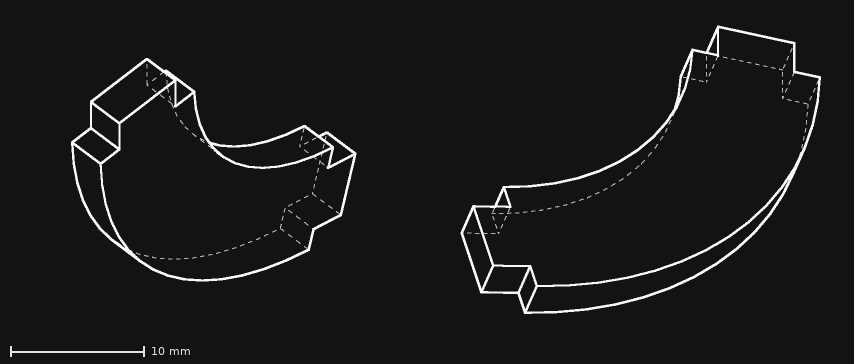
import cadquery as cq
import math

thickness = 3.0
inner_radius = 20.0
outer_radius = 30.0
end_angle = 75.0
overall_height = 31.35

tab_width = 6.0
tab_length = 3.0

upper_end_drop = tab_length + outer_radius * math.sin(math.radians(end_angle)) - overall_height

mid_radius = (inner_radius + outer_radius) / 2
tab_inner = mid_radius - tab_width / 2
tab_outer = mid_radius + tab_width / 2


def polar(radius, angle):
    """Point at an angle in degrees from the -Y axis, turning toward -Z."""
    turn = math.radians(angle)
    return (-radius * math.cos(turn), -radius * math.sin(turn))


def upper_end_angle(radius):
    """Angle at which an arc of this radius meets the upper end face."""
    return math.degrees(math.asin(upper_end_drop / radius))


def arc_points(radius):
    """Start, middle and end of the arc, from the upper to the lower end face."""
    start_angle = upper_end_angle(radius)
    middle_angle = (start_angle + end_angle) / 2
    return [polar(radius, angle) for angle in (start_angle, middle_angle, end_angle)]


def lower_end_point(radius, reach):
    """Point at a radius along the lower end face, moved outward by reach."""
    y, z = polar(radius, end_angle)
    turn = math.radians(end_angle)
    return (y + reach * math.sin(turn), z - reach * math.cos(turn))


outer_top, outer_middle, outer_bottom = arc_points(outer_radius)
inner_top, inner_middle, inner_bottom = arc_points(inner_radius)
shoulder_z = -upper_end_drop
tab_top_z = shoulder_z + tab_length

result = (
    cq.Workplane("YZ")
    .moveTo(*outer_top)
    .threePointArc(outer_middle, outer_bottom)
    .lineTo(*lower_end_point(tab_outer, 0))
    .lineTo(*lower_end_point(tab_outer, tab_length))
    .lineTo(*lower_end_point(tab_inner, tab_length))
    .lineTo(*lower_end_point(tab_inner, 0))
    .lineTo(*inner_bottom)
    .threePointArc(inner_middle, inner_top)
    .lineTo(-tab_inner, shoulder_z)
    .lineTo(-tab_inner, tab_top_z)
    .lineTo(-tab_outer, tab_top_z)
    .lineTo(-tab_outer, shoulder_z)
    .close()
    .extrude(thickness)
)